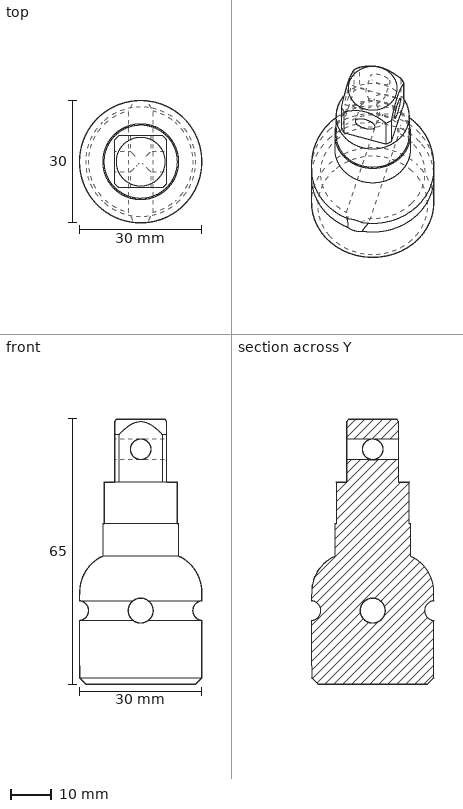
import cadquery as cq
import math

height = 65.0
body_radius = 15.0
cutter_overrun = 0.65

bottom_chamfer = 1.55
groove_z = 18.1
groove_half_width = 2.4
groove_depth = 2.2
cross_hole_diameter = 6.05
dome_base_z = 22.5
dome_radius = 9.95
dome_top_radius = 9.95

lower_neck_radius = 9.3
lower_neck_base_z = 31.4
lower_neck_top_z = 39.4
upper_neck_radius = 9.0
neck_top_z = 49.5

square_width = 12.75
square_corner_radius = 8.3
tip_radius = 6.0
tip_cone_height = 3.85
pin_hole_diameter = 5.0
pin_hole_z = 57.6


def make_body():
    """Revolved body and neck, with the dome arc tangent to the body wall."""
    dome_center_radius = body_radius - dome_radius
    dome_end_angle = math.acos((dome_top_radius - dome_center_radius) / dome_radius)

    def dome_point(angle):
        return (
            dome_center_radius + dome_radius * math.cos(angle),
            dome_base_z + dome_radius * math.sin(angle),
        )

    return (
        cq.Workplane("XZ")
        .moveTo(0, 0)
        .lineTo(body_radius - bottom_chamfer, 0)
        .lineTo(body_radius, bottom_chamfer)
        .lineTo(body_radius, groove_z - groove_half_width)
        .threePointArc(
            (body_radius - groove_depth, groove_z),
            (body_radius, groove_z + groove_half_width),
        )
        .lineTo(body_radius, dome_base_z)
        .threePointArc(dome_point(dome_end_angle / 2), dome_point(dome_end_angle))
        .lineTo(lower_neck_radius, lower_neck_base_z)
        .lineTo(lower_neck_radius, lower_neck_top_z)
        .lineTo(upper_neck_radius, lower_neck_top_z)
        .lineTo(upper_neck_radius, neck_top_z)
        .lineTo(0, neck_top_z)
        .close()
        .revolve(360, (0, 0, 0), (0, 1, 0))
    )


def make_square_drive():
    """Square prism whose corners and tip are trimmed by a coned cylinder."""
    drive_height = height - neck_top_z
    square = (
        cq.Workplane("XY", origin=(0, 0, neck_top_z))
        .rect(square_width, square_width)
        .extrude(drive_height)
    )
    turned_blank = (
        cq.Workplane("XZ")
        .moveTo(0, neck_top_z)
        .lineTo(square_corner_radius, neck_top_z)
        .lineTo(square_corner_radius, height - tip_cone_height)
        .lineTo(tip_radius, height)
        .lineTo(0, height)
        .close()
        .revolve(360, (0, 0, 0), (0, 1, 0))
    )
    return square.intersect(turned_blank)


def through_hole(plane, diameter, z):
    """Horizontal cutter crossing the whole part along the plane normal."""
    return (
        cq.Workplane(plane, origin=(0, 0, z))
        .circle(diameter / 2)
        .extrude(body_radius + cutter_overrun, both=True)
    )


result = make_body().union(make_square_drive())
result = result.cut(through_hole("XZ", cross_hole_diameter, groove_z))
for pin_plane in ("XZ", "YZ"):
    result = result.cut(through_hole(pin_plane, pin_hole_diameter, pin_hole_z))